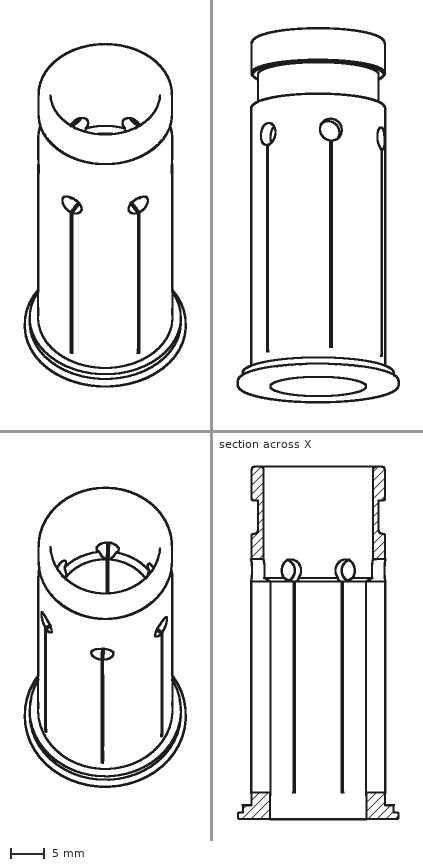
import cadquery as cq

height = 52.5
disc_diameter = 24.0
collar_diameter = 22.5
body_diameter = 20.0
cap_diameter = 19.9
neck_diameter = 18.0

upper_bore_diameter = 16.3
lower_bore_diameter = 14.3

disc_top = 1.05
collar_top = 2.1
body_top = 42.5
cap_bottom = 47.4

disc_fillet = 0.25
body_fillet = 0.35
neck_fillet = 0.5
cap_bottom_chamfer = 0.2
cap_top_fillet = 0.45
mouth_fillet = 0.4

spoke_count = 6
hole_diameter = 3.3
hole_height = 37.0
slit_width = 0.25
slit_bottom = 4.0

cone_height = 0.6
cone_bottom = hole_height - hole_diameter / 2
cone_top = cone_bottom + cone_height


def cylinder(diameter, bottom, top):
    """Upright cylinder on the Z axis between two levels."""
    return cq.Workplane("XY").workplane(offset=bottom).circle(diameter / 2).extrude(top - bottom)


def make_outside():
    """Stacked flange, body, neck and cap without the bore."""
    disc = cylinder(disc_diameter, 0, disc_top).edges().fillet(disc_fillet)
    collar = cylinder(collar_diameter, 0, collar_top)
    body = cylinder(body_diameter, 0, body_top).faces(">Z").edges().fillet(body_fillet)
    neck = cylinder(neck_diameter, 0, height)
    cap = cylinder(cap_diameter, cap_bottom, height)
    cap = cap.faces("<Z").edges().chamfer(cap_bottom_chamfer)
    cap = cap.faces(">Z").edges().fillet(cap_top_fillet)

    neck_radius = neck_diameter / 2
    fillet_ring = (
        cq.Workplane("XZ")
        .moveTo(neck_radius, body_top)
        .lineTo(neck_radius + neck_fillet, body_top)
        .radiusArc((neck_radius, body_top + neck_fillet), neck_fillet)
        .close()
        .revolve(360, (0, 0, 0), (0, 1, 0))
    )
    return disc.union(collar).union(body).union(neck).union(cap).union(fillet_ring)


def make_bore():
    """Through bore, wide above the cone and rounded at the mouth."""
    upper_radius = upper_bore_diameter / 2
    lower_radius = lower_bore_diameter / 2
    return (
        cq.Workplane("XZ")
        .lineTo(lower_radius, 0)
        .lineTo(lower_radius, cone_bottom)
        .lineTo(upper_radius, cone_top)
        .lineTo(upper_radius, height - mouth_fillet)
        .radiusArc((upper_radius + mouth_fillet, height), mouth_fillet)
        .lineTo(0, height)
        .close()
        .revolve(360, (0, 0, 0), (0, 1, 0))
    )


def make_spoke():
    """Radial hole toward -Y with the slit below it."""
    hole = cq.Workplane("XZ").center(0, hole_height).circle(hole_diameter / 2).extrude(body_diameter)
    slit = (
        cq.Workplane("XZ")
        .center(0, (hole_height + slit_bottom) / 2)
        .rect(slit_width, hole_height - slit_bottom)
        .extrude(body_diameter)
    )
    return hole.union(slit)


result = make_outside().cut(make_bore())
spoke = make_spoke()
for index in range(spoke_count):
    angle = index * 360 / spoke_count
    result = result.cut(spoke.rotate((0, 0, 0), (0, 0, 1), angle))